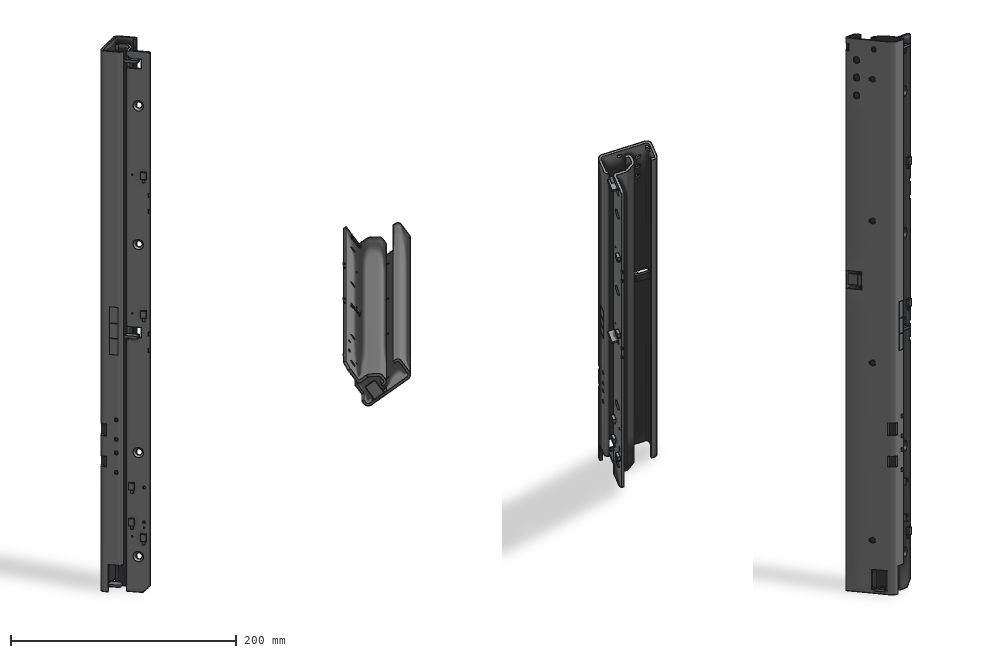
import cadquery as cq
import math

overall_x = 44.45
overall_y = 50.3
overall_z = 500.0
label_thickness = 0.3
tail_length = 1.2

channel_sheet = 2.2
channel_width = 20.8
corner_radius = 4.8
lip_radius = 3.6
back_lip_height = 6.3
front_lip_height = 3.7
channel_front = label_thickness
channel_back = overall_y

bracket_sheet = 2.5
bracket_back = 9.5
bracket_front = bracket_back - bracket_sheet
wall_right = 24.7
rail_left = 8.2
rail_back = 29.3
rail_tip = 23.5
rail_slope_start = 19.0
rail_slope_end = 19.5
nose_front = 17.5


def box(x_range, y_range, z_range):
    """Block spanning the given (low, high) ranges."""
    sizes = [high - low for low, high in (x_range, y_range, z_range)]
    corner = (x_range[0], y_range[0], z_range[0])
    return cq.Workplane("XY").box(*sizes, centered=False).translate(corner)


def hole_along_x(y, z, diameter):
    """Cylinder through the channel web."""
    return cq.Workplane("YZ").center(y, z).circle(diameter / 2).extrude(corner_radius)


def hole_along_y(x, z, diameter, depth=bracket_back + 1):
    """Cylinder from the front plane towards +Y."""
    return cq.Workplane("XZ").center(x, z).circle(diameter / 2).extrude(-depth)


def bent_sheet(path, radii, thickness, bottom, top):
    """Sheet of constant thickness along a centreline path, with one bend radius per inner point."""
    half = thickness / 2
    points = [cq.Vector(x, y) for x, y in path]
    directions = [(b - a).normalized() for a, b in zip(points, points[1:])]
    normals = [cq.Vector(-d.y, d.x) for d in directions]

    def side(offset):
        """Start point, bend arcs and end point of one face of the sheet."""
        arcs = []
        for i, radius in enumerate(radii):
            before, after = directions[i], directions[i + 1]
            turn = math.copysign(1, before.cross(after).z)
            tangent_length = radius * math.tan(before.getAngle(after) / 2)
            corner = points[i + 1]
            start = corner - before * tangent_length
            end = corner + after * tangent_length
            centre = start + normals[i] * (turn * radius)
            middle = centre + (corner - centre).normalized() * (radius - turn * offset)
            arcs.append((start + normals[i] * offset, middle, end + normals[i + 1] * offset))
        return points[0] + normals[0] * offset, arcs, points[-1] + normals[-1] * offset

    left_start, left_arcs, left_end = side(half)
    right_start, right_arcs, right_end = side(-half)
    outline = cq.Workplane("XY").workplane(offset=bottom).moveTo(left_start.x, left_start.y)
    for start, middle, end in left_arcs:
        outline = outline.lineTo(start.x, start.y)
        outline = outline.threePointArc((middle.x, middle.y), (end.x, end.y))
    outline = outline.lineTo(left_end.x, left_end.y).lineTo(right_end.x, right_end.y)
    for start, middle, end in reversed(right_arcs):
        outline = outline.lineTo(end.x, end.y)
        outline = outline.threePointArc((middle.x, middle.y), (start.x, start.y))
    return outline.lineTo(right_start.x, right_start.y).close().extrude(top - bottom)


def channel_profile():
    """C-shaped section with a lip on each flange."""
    half = channel_sheet / 2
    left = half
    right = channel_width - half
    front = channel_front + half
    back = channel_back - half
    path = [
        (right, channel_back - back_lip_height),
        (right, back),
        (left, back),
        (left, front),
        (right, front),
        (right, channel_front + front_lip_height),
    ]
    lip_bend = lip_radius - half
    corner_bend = corner_radius - half
    radii = [lip_bend, corner_bend, corner_bend, lip_bend]
    return bent_sheet(path, radii, channel_sheet, tail_length, overall_z)


def web_holes():
    """Round holes through the web as (y, z, diameter)."""
    fixing_y, fixing_diameter = 38.0, 6.2
    holes = [(fixing_y, z, fixing_diameter) for z in (449, 465, 481)]
    keyhole_y, keyhole_diameter = 21.8, 5.0
    neck_y, neck_diameter = 24.4, 2.4
    for z in (49, 209, 337, 465):
        holes.append((keyhole_y, z, keyhole_diameter))
        holes.append((neck_y, z, neck_diameter))
    holes.append((20.8, 492, 4.5))
    return holes


def flange_holes():
    """Small holes in the front flange, beside its lip, as (x, z, diameter)."""
    hole_x, diameter = 15.3, 3.4
    return [(hole_x, z, diameter) for z in (112, 130, 142.5, 160.5)]


def corner_slots():
    """Slots through the rounded corners of the channel."""
    slot_depth = 6.3
    slot_width = 6.8
    slots = []
    for bottom, top in ((116.5, 126), (145, 156)):
        slots.append(box((-1, slot_depth), (-1, slot_width), (bottom, top)))
    slots.append(box((-1, corner_radius), (channel_back - corner_radius, channel_back + 1), (488.5, 495)))
    return slots


def stop_tongue(channel):
    """Window in the web with a tongue set inwards from the back flange."""
    window_y = (32.7, channel_back - channel_sheet)
    window_z = (274, 290)
    side_gap = 3.0
    tongue_x = (3.0, 3.0 + channel_sheet)
    tongue_y = (35.5, channel_back - channel_sheet / 2)
    tongue_z = (window_z[0] + side_gap, window_z[1] - side_gap)
    toe_offset = 1.0
    toe_x = [x - toe_offset for x in tongue_x]
    toe_y = (34.2, 38.0)
    window = box((-1, tongue_x[1] + 1), window_y, window_z)
    tongue = box(tongue_x, tongue_y, tongue_z)
    toe = box(toe_x, toe_y, tongue_z)
    return channel.cut(window).union(tongue).union(toe)


def end_shelf(channel):
    """Window near the bottom of the web, with an inward shelf and a pad at its root."""
    web_cut_x = (-1, channel_sheet + 1)
    window_y = (7.6, 23.2)
    window_z = (4.5, 22.5)
    shelf_bottom = 3.2
    shelf_x = (0, 16)
    shelf_y = (9.8, 20.4)
    shelf_z = (shelf_bottom, shelf_bottom + channel_sheet)
    free_corner_radius = 1.5
    root_radius = 1.2
    pad_x = (channel_sheet, 4.5)
    pad_y = (11.4, 17.4)
    pad_z = (shelf_z[1], shelf_z[1] + 1.4)

    window = box(web_cut_x, window_y, window_z)
    seat = box(web_cut_x, shelf_y, shelf_z)
    shelf = box(shelf_x, shelf_y, shelf_z)
    shelf = shelf.edges("|Z and >X").fillet(free_corner_radius)
    shelf = shelf.faces("<X").edges("<Z").fillet(root_radius)
    root_pad = box(pad_x, pad_y, pad_z)
    return channel.cut(window).cut(seat).union(shelf).union(root_pad)


def make_channel():
    channel = channel_profile()
    for y, z, diameter in web_holes():
        channel = channel.cut(hole_along_x(y, z, diameter))
    for x, z, diameter in flange_holes():
        channel = channel.cut(hole_along_y(x, z, diameter, corner_radius))
    for slot in corner_slots():
        channel = channel.cut(slot)
    notch_left = 7.6
    notch_top = 26.5
    flange_notch = box((notch_left, channel_width + 1), (-1, front_lip_height + 1), (0, notch_top))
    channel = channel.cut(flange_notch)
    channel = stop_tongue(channel)
    return end_shelf(channel)


def bracket_profile():
    """Hooked rail, upright wall and mounting flange bent from one sheet."""
    half = bracket_sheet / 2
    crown = rail_back - half
    wall = wall_right - half
    path = [
        (rail_left + half, rail_tip),
        (rail_left + half, crown),
        (rail_slope_start - half, crown),
        (wall, rail_slope_end),
        (wall, bracket_front + half),
        (overall_x, bracket_front + half),
    ]
    tip_bend, crown_bend, wall_bend = 2.5, 4.0, 6.0
    flange_bend = 1.45
    radii = [tip_bend, crown_bend, wall_bend, flange_bend]
    return bent_sheet(path, radii, bracket_sheet, 0, overall_z)


def trim_ends(bracket):
    """Leave only the rail nose at the bottom and trim the free flange corners."""
    lower_chamfer = 6.5
    upper_radius = 1.5
    bracket = bracket.cut(box((0, overall_x + 1), (0, nose_front), (-1, tail_length)))
    bracket = bracket.faces(">X").edges("|Y").edges("<Z").chamfer(lower_chamfer)
    return bracket.faces(">X").edges("|Y").edges(">Z").fillet(upper_radius)


def tool_slot(bracket, slot_z, tab_end, outward):
    """Slot in the flange with a gusseted tab at one end; outward (+1 or -1) is the Z way off the slot."""
    tab_x = (22.2, 34.0)
    tab_front = 2.2
    inner_face = tab_end - outward * bracket_sheet
    tab = box(tab_x, (tab_front, bracket_back), sorted((inner_face, tab_end)))

    gusset_width = 5.0
    gusset_height = 3.5
    gusset_front = 4.0
    gusset = (
        cq.Workplane("XZ", origin=(tab_x[0], gusset_front, tab_end))
        .polyline([(0, 0), (gusset_width, 0), (0, outward * gusset_height)])
        .close()
        .extrude(gusset_front - bracket_front)
    )
    slot_x = (21.0, 36.5)
    slot = box(slot_x, (0, bracket_back + 2), slot_z)
    return bracket.cut(slot).union(tab).union(gusset)


def hook_lug(x, top):
    """Forward-standing lug with a narrower neck beneath it."""
    lug_width = 5.0
    lug_height = 6.5
    neck_width = 2.4
    neck_height = 3.5
    lug_front = bracket_front - 2.8
    neck_front = bracket_front - 1.2
    bottom = top - lug_height
    lug = box((x - lug_width / 2, x + lug_width / 2), (lug_front, bracket_front), (bottom, top))
    neck_x = (x - neck_width / 2, x + neck_width / 2)
    return lug.union(box(neck_x, (neck_front, bracket_front), (bottom - neck_height, bottom)))


def make_bracket():
    bracket = trim_ends(bracket_profile())

    upper_slot = (484.0, 493.0)
    middle_slot = (236.0, 245.5)
    bracket = tool_slot(bracket, upper_slot, upper_slot[1], 1)
    bracket = tool_slot(bracket, middle_slot, middle_slot[0], -1)

    screw_x = 33.8
    screw_hole = 5.5
    countersink = 9.5
    for z in (34, 130, 322, 450):
        sink = (
            cq.Workplane("XZ", origin=(screw_x, bracket_front, z))
            .circle(countersink / 2)
            .workplane(offset=-bracket_sheet)
            .circle(screw_hole / 2)
            .loft()
        )
        bracket = bracket.cut(sink)

    inner_column = 28.0
    outer_column = 39.0
    for z in (55.5, 261.5, 389.5):
        bracket = bracket.union(hook_lug(outer_column, z))
    for z in (69, 102):
        bracket = bracket.union(hook_lug(inner_column, z))

    pin_hole = 2.4
    pilot_hole = 1.2
    for z in (66, 98):
        bracket = bracket.cut(hole_along_y(outer_column, z, pin_hole))
    for x, z in ((inner_column, 52), (inner_column, 258), (inner_column, 386), (outer_column, 61)):
        bracket = bracket.cut(hole_along_y(x, z, pilot_hole))

    recess_x = (overall_x - 1.5, overall_x + 1)
    recess_y = (0, bracket_front + bracket_sheet / 2)
    recess_height = 3.5
    for z in (225, 240, 353, 368):
        bracket = bracket.cut(box(recess_x, recess_y, (z - recess_height / 2, z + recess_height / 2)))
    return bracket


def make_label():
    """Thin plate on the outside of the front flange, with two lines dividing it in three."""
    label_x = (9.2, channel_width - lip_radius)
    label_z = (220.5, 264.5)
    groove_width = 0.4
    groove_depth = label_thickness / 2
    label = box(label_x, (0, label_thickness), label_z)
    for z in (235.5, 249.5):
        label = label.cut(box(label_x, (0, groove_depth), (z - groove_width / 2, z + groove_width / 2)))
    return label


channel = make_channel()
bracket = make_bracket()
label = make_label()

result = cq.Compound.makeCompound([channel.val(), bracket.val(), label.val()])